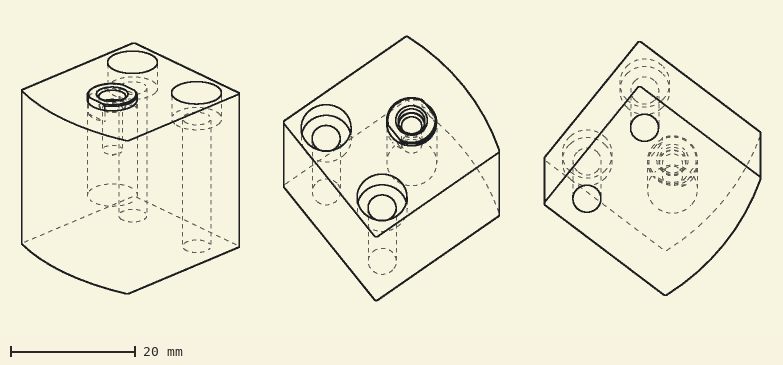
import cadquery as cq
import math

WIDTH = 25.0
DEPTH = 27.0
HOUSING_HEIGHT = 27.5
FRONT_RADIUS = 37.5
CORNER_RADIUS = 0.4

MOUNT_SPACING = 15.0
MOUNT_INSET = 5.0
MOUNT_DIAMETER = 4.5
COUNTERBORE_DIAMETER = 8.0
COUNTERBORE_DEPTH = 4.6

TOTAL_HEIGHT = 28.5
ROD_DIAMETER = 8.0
ROD_INSET = 16.5
ROD_EMBEDDED_DEPTH = 17.1
ROD_CHAMFER = 0.2
ACROSS_FLATS = 7.0
FLAT_LENGTH = 3.0

MOUTH_DIAMETER = 5.07
BORE_DIAMETER = 4.3
BORE_DEPTH = 2.05
COUNTERSINK_DIAMETER = 4.13
DRILL_DIAMETER = 3.25
DRILL_DEPTH = 9.98
DRILL_POINT_ANGLE = 118.0

MOUNT_Y = DEPTH - MOUNT_INSET
ROD_Y = DEPTH - ROD_INSET
ROD_BOTTOM = HOUSING_HEIGHT - ROD_EMBEDDED_DEPTH


def make_housing():
    half_width = WIDTH / 2
    side_front_y = FRONT_RADIUS - math.sqrt(FRONT_RADIUS**2 - half_width**2)
    block = (
        cq.Workplane("XY")
        .moveTo(-half_width, DEPTH)
        .lineTo(-half_width, side_front_y)
        .threePointArc((0, 0), (half_width, side_front_y))
        .lineTo(half_width, DEPTH)
        .close()
        .extrude(HOUSING_HEIGHT)
        .edges("|Z")
        .fillet(CORNER_RADIUS)
    )
    top = cq.Workplane("XY", origin=(0, 0, HOUSING_HEIGHT))
    block = block.cut(make_mount_holes(top))
    rod_recess = top.center(0, ROD_Y).circle(ROD_DIAMETER / 2).extrude(-ROD_EMBEDDED_DEPTH)
    return block.cut(rod_recess)


def make_mount_holes(top):
    half_spacing = MOUNT_SPACING / 2
    centers = [(-half_spacing, MOUNT_Y), (half_spacing, MOUNT_Y)]
    through = top.pushPoints(centers).circle(MOUNT_DIAMETER / 2).extrude(-HOUSING_HEIGHT)
    counterbores = top.pushPoints(centers).circle(COUNTERBORE_DIAMETER / 2).extrude(-COUNTERBORE_DEPTH)
    return through.union(counterbores)


def make_rod():
    rod = (
        cq.Workplane("XY", origin=(0, ROD_Y, ROD_BOTTOM))
        .circle(ROD_DIAMETER / 2)
        .extrude(TOTAL_HEIGHT - ROD_BOTTOM)
        .faces(">Z")
        .edges()
        .chamfer(ROD_CHAMFER)
    )
    return rod.cut(make_flat_cutter()).cut(make_rod_hole())


def make_flat_cutter():
    flat_bottom = cq.Workplane("XY", origin=(0, ROD_Y, TOTAL_HEIGHT - FLAT_LENGTH))
    around_rod = flat_bottom.rect(ROD_DIAMETER, ROD_DIAMETER).extrude(FLAT_LENGTH)
    between_flats = flat_bottom.rect(ROD_DIAMETER, ACROSS_FLATS).extrude(FLAT_LENGTH)
    return around_rod.cut(between_flats)


def make_rod_hole():
    mouth_radius = MOUTH_DIAMETER / 2
    bore_radius = BORE_DIAMETER / 2
    countersink_radius = COUNTERSINK_DIAMETER / 2
    drill_radius = DRILL_DIAMETER / 2
    mouth_depth = mouth_radius - bore_radius
    countersink_bottom = BORE_DEPTH + countersink_radius - drill_radius
    point_length = drill_radius / math.tan(math.radians(DRILL_POINT_ANGLE / 2))
    half_profile = [
        (0, 0),
        (mouth_radius, 0),
        (bore_radius, -mouth_depth),
        (bore_radius, -BORE_DEPTH),
        (countersink_radius, -BORE_DEPTH),
        (drill_radius, -countersink_bottom),
        (drill_radius, -DRILL_DEPTH),
        (0, -DRILL_DEPTH - point_length),
    ]
    return (
        cq.Workplane("XZ", origin=(0, ROD_Y, TOTAL_HEIGHT))
        .polyline(half_profile)
        .close()
        .revolve(360, (0, 0, 0), (0, 1, 0))
    )


housing = make_housing()
rod = make_rod()

result = cq.Compound.makeCompound([housing.val(), rod.val()])